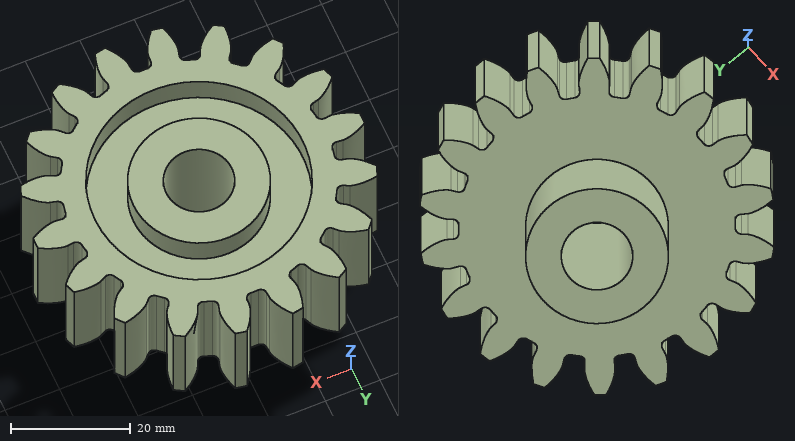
import cadquery as cq
import math

tooth_count = 18
tip_radius = 30.0
pressure_angle = math.radians(20)
root_clearance = 0.25
root_fillet = 1.0
flank_points = 7

face_width = 19.0
hub_length = 15.0
hub_radius = 12.0
bore_radius = 6.0
recess_radius = 19.0
recess_depth = 5.5

module = 2 * tip_radius / (tooth_count + 2)
pitch_radius = module * tooth_count / 2
root_radius = pitch_radius - (1 + root_clearance) * module
base_radius = pitch_radius * math.cos(pressure_angle)
tooth_pitch = 2 * math.pi / tooth_count


def polar(radius, angle):
    return (radius * math.cos(angle), radius * math.sin(angle))


def involute_angle(roll):
    """Polar angle swept by the involute after unrolling by the given angle."""
    return roll - math.atan(roll)


base_half_angle = tooth_pitch / 4 + involute_angle(math.tan(pressure_angle))


def flank(tooth_angle, side):
    """Involute points from base circle to tip; side is -1 or +1 about the tooth axis."""
    tip_roll = math.sqrt((tip_radius / base_radius) ** 2 - 1)
    points = []
    for i in range(flank_points):
        roll = tip_roll * i / (flank_points - 1)
        half_angle = base_half_angle - involute_angle(roll)
        radius = base_radius * math.sqrt(1 + roll**2)
        points.append(polar(radius, tooth_angle + side * half_angle))
    return points


def gear_blank():
    """Toothed body with radial flanks below the base circle and rounded tooth roots."""
    outline = cq.Workplane("XY").moveTo(*polar(root_radius, -base_half_angle))
    for i in range(tooth_count):
        axis = i * tooth_pitch
        rising = flank(axis, -1)
        falling = flank(axis, 1)[::-1]
        outline = (
            outline.lineTo(*rising[0])
            .spline(rising[1:], includeCurrent=True)
            .threePointArc(polar(tip_radius, axis), falling[0])
            .spline(falling[1:], includeCurrent=True)
            .lineTo(*polar(root_radius, axis + base_half_angle))
            .threePointArc(
                polar(root_radius, axis + tooth_pitch / 2),
                polar(root_radius, axis + tooth_pitch - base_half_angle),
            )
        )
    body = outline.close().extrude(face_width)
    between_root_and_base = (root_radius + base_radius) / 2
    root_edges = body.edges("|Z").filter(
        lambda edge: math.hypot(edge.Center().x, edge.Center().y) < between_root_and_base
    )
    return body.newObject(root_edges.vals()).fillet(root_fillet)


recess = (
    cq.Workplane("XY")
    .workplane(offset=face_width - recess_depth)
    .circle(recess_radius)
    .circle(hub_radius)
    .extrude(recess_depth)
)

hub = cq.Workplane("XY").circle(hub_radius).extrude(-hub_length)

bore = (
    cq.Workplane("XY")
    .workplane(offset=-hub_length)
    .circle(bore_radius)
    .extrude(hub_length + face_width)
)

result = gear_blank().cut(recess).union(hub).cut(bore)